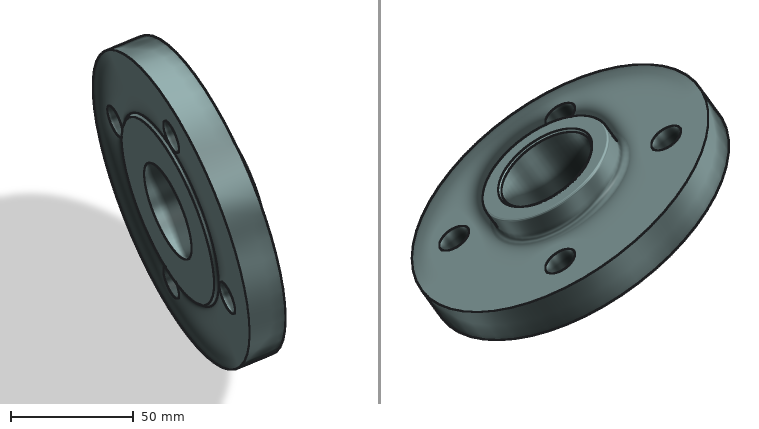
import cadquery as cq

flange_diameter = 140.0
overall_length = 30.0

face_height = 1.5
face_base_diameter = 85.0
face_front_diameter = 82.5

hub_length = 12.0
hub_diameter = 60.0
hub_root_fillet = 3.0
hub_rim_fillet = 1.0

bore_diameter = 42.4
bore_chamfer = 1.0
bolt_circle_diameter = 100.0
bolt_hole_diameter = 14.0
bolt_hole_count = 4

disc_front = face_height
disc_back = overall_length - hub_length

ARC_MIDPOINT_INSET = 1 - 0.5 ** 0.5


def make_body():
    """Revolve the radial half-section about the Y axis, including the hub fillets."""
    hub_radius = hub_diameter / 2
    root_inset = hub_root_fillet * ARC_MIDPOINT_INSET
    rim_inset = hub_rim_fillet * ARC_MIDPOINT_INSET
    section = (
        cq.Workplane("XY")
        .lineTo(face_front_diameter / 2, 0)
        .lineTo(face_base_diameter / 2, disc_front)
        .lineTo(flange_diameter / 2, disc_front)
        .lineTo(flange_diameter / 2, disc_back)
        .lineTo(hub_radius + hub_root_fillet, disc_back)
        .threePointArc(
            (hub_radius + root_inset, disc_back + root_inset),
            (hub_radius, disc_back + hub_root_fillet),
        )
        .lineTo(hub_radius, overall_length - hub_rim_fillet)
        .threePointArc(
            (hub_radius - rim_inset, overall_length - rim_inset),
            (hub_radius - hub_rim_fillet, overall_length),
        )
        .lineTo(0, overall_length)
        .close()
    )
    return section.revolve(360, (0, 0, 0), (0, 1, 0))


def make_bore():
    """Central through bore, widened by a 45 degree chamfer at the hub end."""
    bore_radius = bore_diameter / 2
    section = (
        cq.Workplane("XY")
        .lineTo(bore_radius, 0)
        .lineTo(bore_radius, overall_length - bore_chamfer)
        .lineTo(bore_radius + bore_chamfer, overall_length)
        .lineTo(0, overall_length)
        .close()
    )
    return section.revolve(360, (0, 0, 0), (0, 1, 0))


def make_bolt_holes():
    """Evenly spaced bolt-hole cylinders running the full length along +Y."""
    return (
        cq.Workplane("XZ")
        .polarArray(bolt_circle_diameter / 2, 0, 360, bolt_hole_count)
        .circle(bolt_hole_diameter / 2)
        .extrude(-overall_length)
    )


result = make_body().cut(make_bore()).cut(make_bolt_holes())